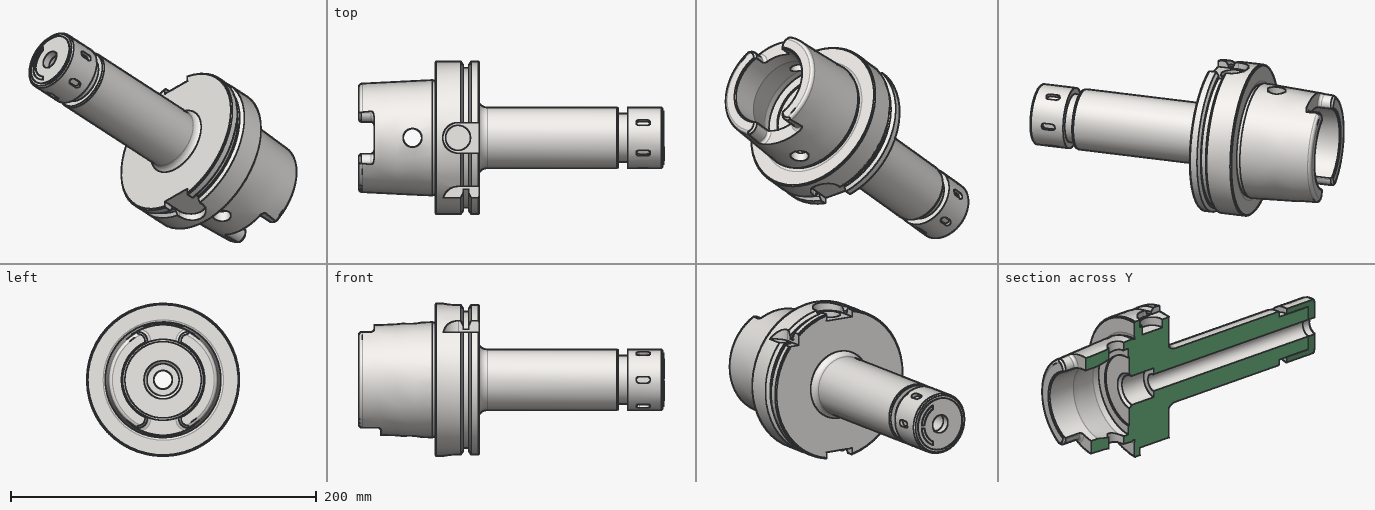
import cadquery as cq
import math


SHANK_LENGTH = 50.0
SHANK_END_R = 35.5
TAPER_SLOPE = 0.05
SHANK_END_ROUND = 2.2
RELIEF_LENGTH = 2.0
RELIEF_ROOT_R = 37.0
RELIEF_FACE_R = 39.4
RELIEF_DEPTH = 0.5

MOUTH_R = 53.0 / 2
MOUTH_CHAMFER = 0.8
MOUTH_LENGTH = 20.0
CAVITY_R = 63.0 / 2
CAVITY_CONE_LENGTH = 20.0
CAVITY_FLOOR_X = -5.0
FLOOR_RECESS_R = 25.0
FLOOR_RECESS_DEPTH = 1.0
TUBE_BORE_R = 21.0 / 2
TUBE_BORE_CHAMFER = 2.0
TUBE_BORE_LENGTH = 20.0
THROUGH_R = 12.0 / 2
ACCESS_HOLE_D = 12.0
ACCESS_HOLE_X = -14.8

DRIVE_HALF_WIDTH = 10.3
DRIVE_FLAT_Z = 31.4
DRIVE_SHOULDER_R = 6.0
DRIVE_EDGE_CHAMFER = 1.5
DRIVE_FLOOR_FILLET = 2.0
TOP_DRIVE_DEPTH = 10.0
BOTTOM_DRIVE_DEPTH = 14.5

FLANGE_R = 50.0
FLANGE_WIDTH = 29.0
FLANGE_CHAMFER = 0.8
GROOVE_CENTRE_X = 20.2
GROOVE_CHANNEL_WIDTH = 3.4
GROOVE_CHANNEL_R = 47.5
GROOVE_FLOOR_R = 45.9
GROOVE_WALL_ANGLE = math.radians(34)
KEY_CENTRE_X = 15.0
KEY_R = 10.0
KEY_FLOOR_Z = 44.5
CHIP_HOLE_D = 16.38
CHIP_HOLE_DEPTH = 6.0
NOTCH_WALL_Y = -31.8
NOTCH_FLOOR_Z = 31.2

SLEEVE_R = 40.0 / 2
SLEEVE_END_X = 120.0
SLEEVE_CHAMFER_LENGTH = 1.2
SLEEVE_CHAMFER_HEIGHT = 0.6
ROOT_ARC_R = 6.1
ROOT_ARC_LENGTH = 5.0
SPIGOT_R = 32.0 / 2
SPIGOT_END_X = 144.0

NUT_R = 40.0 / 2
NUT_START_X = 126.0
NUT_FACE_X = 149.0
NUT_CHAMFER = 1.0
NUT_RIM_R = 17.3
NUT_RIM_HEIGHT = 0.5
NUT_SLOT_COUNT = 6
NUT_SLOT_X = 136.2
NUT_SLOT_LENGTH = 9.2
NUT_SLOT_WIDTH = 4.3
NUT_SLOT_DEPTH = 2.5
PAD_TOP_X = 150.0
PAD_OUTER_R = 14.7
PAD_INNER_R = 12.5
PAD_GAP = 2.0
PAD_END_Y = -6.0

CLEARANCE = 5.0


def revolve_about_x(profile):
    """Full turn of an XY profile around the X axis."""
    return profile.close().revolve(360, (0, 0, 0), (1, 0, 0))


def body_blank():
    """Shank, flange, sleeve and spigot as one solid of revolution."""
    relief_start_r = SHANK_END_R + TAPER_SLOPE * (SHANK_LENGTH - RELIEF_LENGTH)
    round_mid = SHANK_END_ROUND * (1 - math.sqrt(0.5))
    channel_start_x = GROOVE_CENTRE_X - GROOVE_CHANNEL_WIDTH / 2
    channel_end_x = GROOVE_CENTRE_X + GROOVE_CHANNEL_WIDTH / 2
    groove_wall_run = (FLANGE_R - GROOVE_CHANNEL_R) * math.tan(GROOVE_WALL_ANGLE)
    sweep = math.asin(ROOT_ARC_LENGTH / ROOT_ARC_R)
    root_end_x = FLANGE_WIDTH + ROOT_ARC_LENGTH
    root_centre_r = SLEEVE_R + ROOT_ARC_R

    def root_point(angle):
        return root_end_x - ROOT_ARC_R * math.sin(angle), root_centre_r - ROOT_ARC_R * math.cos(angle)

    profile = (
        cq.Workplane("XY")
        .moveTo(-SHANK_LENGTH, 0)
        .lineTo(-SHANK_LENGTH, SHANK_END_R - SHANK_END_ROUND)
        .threePointArc(
            (-SHANK_LENGTH + round_mid, SHANK_END_R - round_mid),
            (-SHANK_LENGTH + SHANK_END_ROUND, SHANK_END_R + TAPER_SLOPE * SHANK_END_ROUND),
        )
        .lineTo(-RELIEF_LENGTH, relief_start_r)
        .lineTo(RELIEF_DEPTH, RELIEF_ROOT_R)
        .lineTo(0, RELIEF_FACE_R)
        .lineTo(0, FLANGE_R - FLANGE_CHAMFER)
        .lineTo(FLANGE_CHAMFER, FLANGE_R)
        .lineTo(channel_start_x - groove_wall_run, FLANGE_R)
        .lineTo(channel_start_x, GROOVE_CHANNEL_R)
        .lineTo(channel_start_x, GROOVE_FLOOR_R)
        .lineTo(channel_end_x, GROOVE_FLOOR_R)
        .lineTo(channel_end_x, GROOVE_CHANNEL_R)
        .lineTo(channel_end_x + groove_wall_run, FLANGE_R)
        .lineTo(FLANGE_WIDTH - FLANGE_CHAMFER, FLANGE_R)
        .lineTo(FLANGE_WIDTH, FLANGE_R - FLANGE_CHAMFER)
        .lineTo(*root_point(sweep))
        .threePointArc(root_point(sweep / 2), root_point(0))
        .lineTo(SLEEVE_END_X - SLEEVE_CHAMFER_LENGTH, SLEEVE_R)
        .lineTo(SLEEVE_END_X, SLEEVE_R - SLEEVE_CHAMFER_HEIGHT)
        .lineTo(SLEEVE_END_X, SPIGOT_R)
        .lineTo(SPIGOT_END_X, SPIGOT_R)
        .lineTo(SPIGOT_END_X, 0)
    )
    return revolve_about_x(profile)


def body_bore():
    """Mouth, clamping cavity, tube bore and through hole along the axis."""
    mouth_end_x = MOUTH_LENGTH - SHANK_LENGTH
    cone_end_x = mouth_end_x + CAVITY_CONE_LENGTH
    recess_floor_x = CAVITY_FLOOR_X + FLOOR_RECESS_DEPTH
    tube_bore_end_x = recess_floor_x + TUBE_BORE_LENGTH
    profile = (
        cq.Workplane("XY")
        .moveTo(-SHANK_LENGTH, 0)
        .lineTo(-SHANK_LENGTH, MOUTH_R + MOUTH_CHAMFER)
        .lineTo(-SHANK_LENGTH + MOUTH_CHAMFER, MOUTH_R)
        .lineTo(mouth_end_x, MOUTH_R)
        .lineTo(cone_end_x, CAVITY_R)
        .lineTo(CAVITY_FLOOR_X, CAVITY_R)
        .lineTo(CAVITY_FLOOR_X, FLOOR_RECESS_R)
        .lineTo(recess_floor_x, FLOOR_RECESS_R)
        .lineTo(recess_floor_x, TUBE_BORE_R + TUBE_BORE_CHAMFER)
        .lineTo(recess_floor_x + TUBE_BORE_CHAMFER, TUBE_BORE_R)
        .lineTo(tube_bore_end_x, TUBE_BORE_R)
        .lineTo(tube_bore_end_x, THROUGH_R)
        .lineTo(SPIGOT_END_X, THROUGH_R)
        .lineTo(SPIGOT_END_X, 0)
    )
    return revolve_about_x(profile)


def drive_outline(plane, growth):
    """Slot outline: straight sides, rounded shoulders, then a wide flat; growth widens it evenly."""
    half_width = DRIVE_HALF_WIDTH + growth
    shoulder_r = DRIVE_SHOULDER_R - growth
    flat_z = DRIVE_FLAT_Z - growth
    shoulder_y = half_width + shoulder_r
    shoulder_z = flat_z - shoulder_r
    mid = shoulder_r * math.sqrt(0.5)
    outer_y = shoulder_y + 2 * CLEARANCE
    outer_z = SHANK_END_R + 2 * CLEARANCE
    return (
        plane.moveTo(-half_width, 0)
        .lineTo(half_width, 0)
        .lineTo(half_width, shoulder_z)
        .threePointArc((shoulder_y - mid, shoulder_z + mid), (shoulder_y, flat_z))
        .lineTo(outer_y, flat_z)
        .lineTo(outer_y, outer_z)
        .lineTo(-outer_y, outer_z)
        .lineTo(-outer_y, flat_z)
        .lineTo(-shoulder_y, flat_z)
        .threePointArc((mid - shoulder_y, shoulder_z + mid), (-half_width, shoulder_z))
        .close()
    )


def drive_slot(depth):
    """Slot through the +Z shank wall with a filleted floor and a chamfered mouth."""
    end_plane = cq.Workplane("YZ", origin=(-SHANK_LENGTH, 0, 0))
    slot = drive_outline(end_plane, 0).extrude(depth).faces(">X").edges().fillet(DRIVE_FLOOR_FILLET)
    mouth_outline = drive_outline(end_plane, DRIVE_EDGE_CHAMFER)
    mouth = drive_outline(mouth_outline.workplane(offset=DRIVE_EDGE_CHAMFER), 0).loft(ruled=True)
    return slot.union(mouth)


def round_ended_cut(centre_y, floor_z):
    """Vertical milled slot, round at its -X end and open through the +X flange face."""
    height = FLANGE_R + CLEARANCE - floor_z
    run = FLANGE_WIDTH + CLEARANCE - KEY_CENTRE_X
    plane = cq.Workplane("XY", origin=(KEY_CENTRE_X, centre_y, floor_z))
    straight = plane.rect(run, 2 * KEY_R).extrude(height).translate((run / 2, 0, 0))
    return plane.circle(KEY_R).extrude(height).union(straight)


def make_body():
    body = body_blank().cut(body_bore())

    body = body.cut(drive_slot(TOP_DRIVE_DEPTH))
    body = body.cut(drive_slot(BOTTOM_DRIVE_DEPTH).rotate((0, 0, 0), (1, 0, 0), 180))

    access = cq.Workplane("XY", origin=(ACCESS_HOLE_X, 0, 0)).circle(ACCESS_HOLE_D / 2)
    body = body.cut(access.extrude(FLANGE_R, both=True))

    keyway = round_ended_cut(0, KEY_FLOOR_Z)
    body = body.cut(keyway).cut(keyway.mirror("XY"))

    chip_hole = cq.Workplane("XY", origin=(KEY_CENTRE_X, 0, KEY_FLOOR_Z)).circle(CHIP_HOLE_D / 2)
    body = body.cut(chip_hole.extrude(-CHIP_HOLE_DEPTH))

    return body.cut(round_ended_cut(NOTCH_WALL_Y - KEY_R, NOTCH_FLOOR_Z))


def nut_blank():
    """Cap with a bore that fits the spigot and a hole through its front wall."""
    rim_x = NUT_FACE_X + NUT_RIM_HEIGHT
    profile = (
        cq.Workplane("XY")
        .moveTo(NUT_START_X, SPIGOT_R)
        .lineTo(NUT_START_X, NUT_R)
        .lineTo(NUT_FACE_X - NUT_CHAMFER, NUT_R)
        .lineTo(NUT_FACE_X, NUT_R - NUT_CHAMFER)
        .lineTo(NUT_FACE_X, NUT_RIM_R)
        .lineTo(rim_x, NUT_RIM_R)
        .lineTo(rim_x, THROUGH_R)
        .lineTo(SPIGOT_END_X, THROUGH_R)
        .lineTo(SPIGOT_END_X, SPIGOT_R)
    )
    return revolve_about_x(profile)


def nut_slot():
    """Round-ended spanner slot on the -Y side of the nut."""
    return (
        cq.Workplane("XZ", origin=(NUT_SLOT_X, NUT_SLOT_DEPTH - NUT_R, 0))
        .slot2D(NUT_SLOT_LENGTH, NUT_SLOT_WIDTH)
        .extrude(NUT_SLOT_DEPTH + CLEARANCE)
    )


def face_pads():
    """Two raised arcs on the -Y half of the nut face, parted by a narrow gap."""
    ring = (
        cq.Workplane("YZ", origin=(NUT_FACE_X, 0, 0))
        .circle(PAD_OUTER_R)
        .circle(PAD_INNER_R)
        .extrude(PAD_TOP_X - NUT_FACE_X)
    )
    length = 2 * (PAD_TOP_X - NUT_FACE_X)
    unwanted_half = (
        cq.Workplane("XY")
        .box(length, 2 * NUT_R, 2 * NUT_R)
        .translate((NUT_FACE_X, PAD_END_Y + NUT_R, 0))
    )
    gap = cq.Workplane("XY").box(length, 2 * NUT_R, PAD_GAP).translate((NUT_FACE_X, 0, 0))
    return ring.cut(unwanted_half).cut(gap)


def make_nut():
    nut = nut_blank().union(face_pads())
    for index in range(NUT_SLOT_COUNT):
        angle = index * 360 / NUT_SLOT_COUNT
        nut = nut.cut(nut_slot().rotate((0, 0, 0), (1, 0, 0), angle))
    return nut


body = make_body()
nut = make_nut()
result = cq.Compound.makeCompound([body.val(), nut.val()])